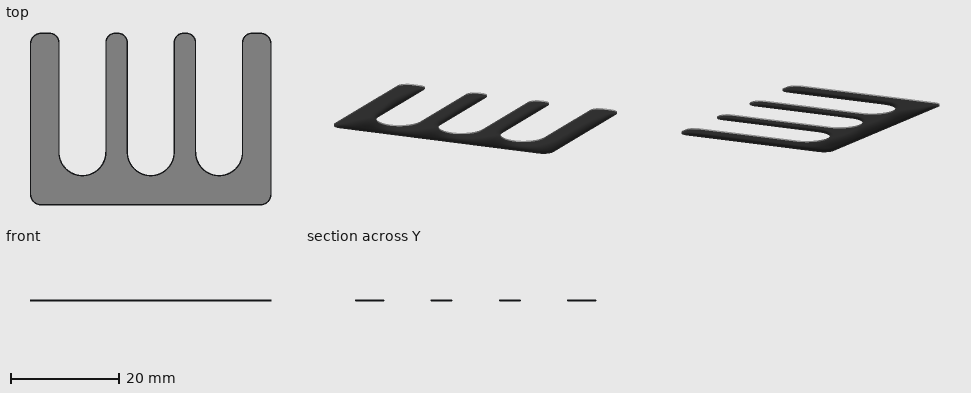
import cadquery as cq

length = 44.45
width = 31.75
thickness = 0.25
corner_radius = 2.0

slot_count = 3
slot_width = 8.62
slot_pitch = 12.62
web_width = 5.42
tip_radius = 1.8


def slot_cutter(center_x):
    """Slot with a half-round bottom, running out through the +Y edge."""
    radius = slot_width / 2
    round_center_y = -width / 2 + web_width + radius
    return (
        cq.Workplane("XY")
        .moveTo(center_x - radius, width / 2)
        .lineTo(center_x - radius, round_center_y)
        .threePointArc((center_x, round_center_y - radius), (center_x + radius, round_center_y))
        .lineTo(center_x + radius, width / 2)
        .close()
        .extrude(thickness)
    )


plate = (
    cq.Workplane("XY")
    .rect(length, width)
    .extrude(thickness)
    .edges("|Z")
    .fillet(corner_radius)
)

for index in range(slot_count):
    plate = plate.cut(slot_cutter((index - (slot_count - 1) / 2) * slot_pitch))

slots_half_span = ((slot_count - 1) * slot_pitch + slot_width) / 2
margin = 0.05
slot_mouths = cq.selectors.BoxSelector(
    (-slots_half_span - margin, width / 2 - margin, -margin),
    (slots_half_span + margin, width / 2 + margin, thickness + margin),
)
result = plate.edges("|Z").edges(slot_mouths).fillet(tip_radius)